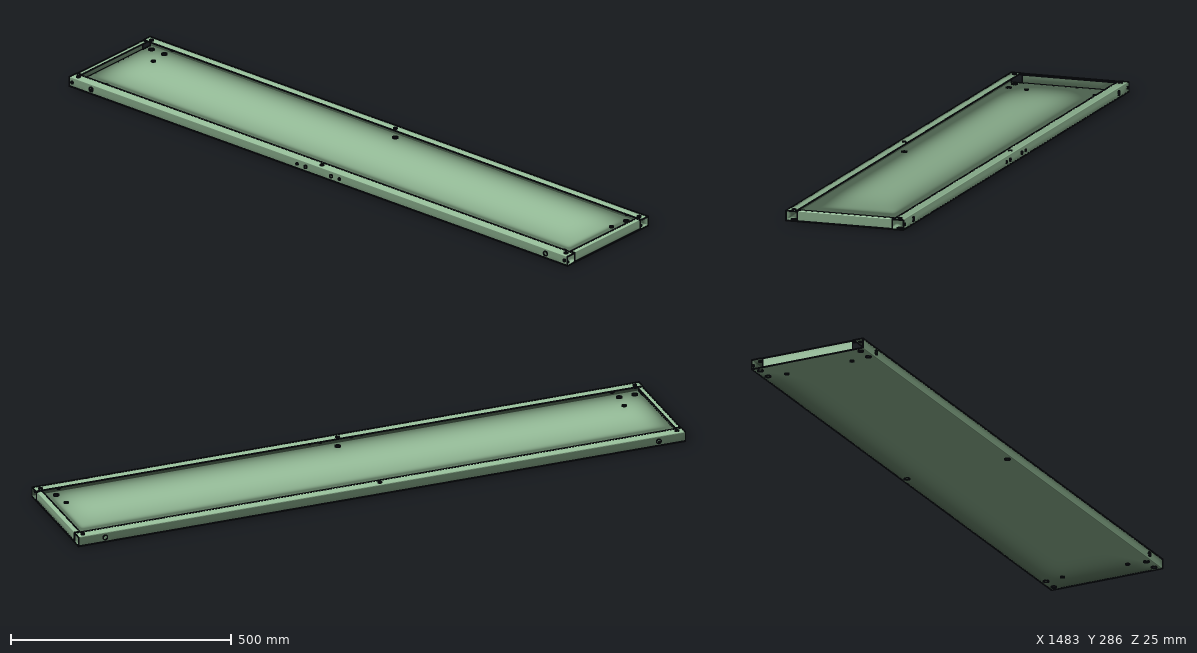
import cadquery as cq

overall_length = 1483.02
overall_width = 286.0
height = 25.0

thickness = 2.0
inner_bend_radius = 0.5
outer_bend_radius = inner_bend_radius + thickness

side_length = 1483.0
side_lip = 25.0

end_width = 229.0
end_lip = 13.5

lip_hole_y = 128.0
lip_hole_diameter = 9.0
corner_hole_x = 726.0
access_hole_diameter = 13.0

floor_hole_x = 682.0
floor_hole_y = 83.0
floor_hole_diameter = 10.0
covered_hole_x = 688.0

wall_hole_z = height / 2
window_x = 676.5
window_diameter = 11.0
end_hole_x = 733.0
end_hole_diameter = 6.0
inner_hole_x = 38.0
inner_hole_diameter = 8.0
outer_hole_x = 63.0
outer_hole_diameter = 6.0


def rounded_bar(plane, width, bar_height, radius, length):
    """Bar centred at mid height with its four long edges rounded."""
    return (
        cq.Workplane(plane)
        .center(0, height / 2)
        .rect(width, bar_height)
        .extrude(length / 2, both=True)
        .edges("|X" if plane == "YZ" else "|Y")
        .fillet(radius)
    )


def lipped_channel(plane, width, lip, length):
    """Floor, two walls and two inward lips of bent sheet, running along the plane normal."""
    outside = rounded_bar(plane, width, height, outer_bend_radius, length)
    inside = rounded_bar(
        plane, width - 2 * thickness, height - 2 * thickness, inner_bend_radius, length
    )
    mouth = (
        cq.Workplane(plane)
        .center(0, height - thickness)
        .rect(width - 2 * lip, 2 * thickness)
        .extrude(length / 2, both=True)
    )
    return outside.cut(inside).cut(mouth)


def four_corners(x, y):
    """The four points at plus and minus x and y."""
    return [(sign_x * x, sign_y * y) for sign_x in (-1, 1) for sign_y in (-1, 1)]


def vertical_holes(points, diameter, depth):
    """Cylinders rising from the underside of the floor."""
    return cq.Workplane("XY").pushPoints(points).circle(diameter / 2).extrude(depth)


def front_wall_holes(x, diameter):
    """A mirrored pair of cylinders through the -Y wall."""
    return (
        cq.Workplane("XZ", origin=(0, -overall_width / 2, 0))
        .pushPoints([(-x, wall_hole_z), (x, wall_hole_z)])
        .circle(diameter / 2)
        .extrude(-thickness)
    )


def both_wall_holes(x, diameter):
    """A mirrored pair of cylinders through both long walls."""
    return (
        cq.Workplane("XZ")
        .pushPoints([(-x, wall_hole_z), (x, wall_hole_z)])
        .circle(diameter / 2)
        .extrude(overall_width / 2, both=True)
    )


side_channel = lipped_channel("YZ", overall_width, side_lip, side_length)
end_channel = lipped_channel("XZ", overall_length, end_lip, end_width)
result = side_channel.union(end_channel)

lip_points = four_corners(corner_hole_x, lip_hole_y) + [(0, -lip_hole_y), (0, lip_hole_y)]
result = result.cut(vertical_holes(lip_points, lip_hole_diameter, height))
result = result.cut(vertical_holes(lip_points, access_hole_diameter, thickness))

covered_points = four_corners(covered_hole_x, lip_hole_y)
result = result.cut(vertical_holes(covered_points, access_hole_diameter, thickness))
floor_points = four_corners(floor_hole_x, floor_hole_y)
result = result.cut(vertical_holes(floor_points, floor_hole_diameter, thickness))

result = result.cut(both_wall_holes(window_x, window_diameter))
for hole_x, hole_diameter in (
    (end_hole_x, end_hole_diameter),
    (inner_hole_x, inner_hole_diameter),
    (outer_hole_x, outer_hole_diameter),
):
    result = result.cut(front_wall_holes(hole_x, hole_diameter))